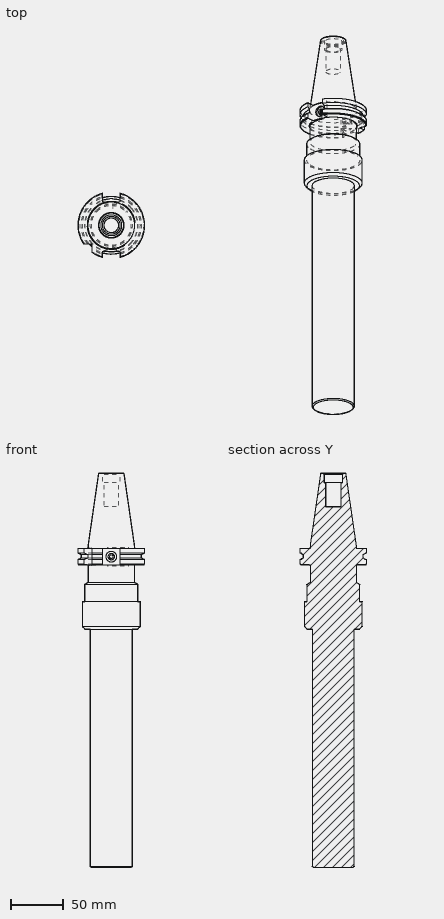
import cadquery as cq
import math

LENGTH = 375.2
TAPER_LENGTH = 69.0
FLANGE_TOP = 71.5
FLANGE_THICKNESS = 15.8
COLLAR_TOP = 104.0
NUT_TOP = 122.5
NUT_BOTTOM = 148.5

GAUGE_DIAMETER = 44.3
TAPER_END_DIAMETER = 24.5
TAPER_END_CHAMFER = 0.55

FLANGE_DIAMETER = 63.5
COLLAR_DIAMETER = 50.5
COLLAR_SHOULDER_HEIGHT = 2.0
NUT_DIAMETER = 55.0
NUT_CHAMFER = 2.5
SHANK_DIAMETER = 40.0
SHANK_CHAMFER = 1.0
FLANGE_CHAMFER = 0.8
FLANGE_ROOT_RADIUS = 0.8
ROOT_SEARCH_MARGIN = 0.5

GROOVE_CENTRE = 79.0
GROOVE_DEPTH = 3.0
GROOVE_FLOOR_WIDTH = 3.0
GROOVE_FLANK_ANGLE = 30.0

SLOT_WIDTH = 17.0
FRONT_SLOT_FLOOR = 24.8
REAR_SLOT_FLOOR = 22.0
SLOT_CORNER_RADIUS = 1.0

PORT_STEPS = [(10.0, 2.0), (6.0, 3.8), (3.5, 5.5)]

NOTCH_X = -18.5
NOTCH_Y = -18.0
NOTCH_CORNER_RADIUS = 0.8

BORE_DIAMETER = 14.0
BORE_DEPTH = 32.0
PILOT_DIAMETER = 17.0
PILOT_DEPTH = 9.0
MOUTH_DIAMETER = 20.0
MOUTH_DEPTH = 1.5

top_z = LENGTH
gauge_z = LENGTH - TAPER_LENGTH
flange_top_z = LENGTH - FLANGE_TOP
flange_bottom_z = flange_top_z - FLANGE_THICKNESS
flange_middle_z = (flange_top_z + flange_bottom_z) / 2
groove_z = LENGTH - GROOVE_CENTRE
collar_top_z = LENGTH - COLLAR_TOP
nut_top_z = LENGTH - NUT_TOP
nut_bottom_z = LENGTH - NUT_BOTTOM

gauge_radius = GAUGE_DIAMETER / 2
taper_end_radius = TAPER_END_DIAMETER / 2
flange_radius = FLANGE_DIAMETER / 2
collar_radius = COLLAR_DIAMETER / 2
nut_radius = NUT_DIAMETER / 2
shank_radius = SHANK_DIAMETER / 2
groove_floor_radius = flange_radius - GROOVE_DEPTH
groove_floor_half = GROOVE_FLOOR_WIDTH / 2
groove_mouth_half = groove_floor_half + GROOVE_DEPTH * math.tan(math.radians(GROOVE_FLANK_ANGLE))


def turned_body():
    """Revolve the whole outer profile, listed from the shank end up to the taper."""
    profile = [
        (0, 0),
        (shank_radius - SHANK_CHAMFER, 0),
        (shank_radius, SHANK_CHAMFER),
        (shank_radius, nut_bottom_z),
        (nut_radius - NUT_CHAMFER, nut_bottom_z),
        (nut_radius, nut_bottom_z + NUT_CHAMFER),
        (nut_radius, nut_top_z),
        (collar_radius, nut_top_z),
        (collar_radius, collar_top_z - COLLAR_SHOULDER_HEIGHT),
        (gauge_radius, collar_top_z),
        (gauge_radius, flange_bottom_z),
        (flange_radius - FLANGE_CHAMFER, flange_bottom_z),
        (flange_radius, flange_bottom_z + FLANGE_CHAMFER),
        (flange_radius, groove_z - groove_mouth_half),
        (groove_floor_radius, groove_z - groove_floor_half),
        (groove_floor_radius, groove_z + groove_floor_half),
        (flange_radius, groove_z + groove_mouth_half),
        (flange_radius, flange_top_z),
        (gauge_radius, flange_top_z),
        (gauge_radius, gauge_z),
        (taper_end_radius, top_z - TAPER_END_CHAMFER),
        (taper_end_radius - TAPER_END_CHAMFER, top_z),
        (0, top_z),
    ]
    body = cq.Workplane("XZ").polyline(profile).close().revolve(360, (0, 0, 0), (0, 1, 0))
    reach = gauge_radius + ROOT_SEARCH_MARGIN
    flange_roots = cq.selectors.BoxSelector(
        (-reach, -reach, flange_bottom_z - ROOT_SEARCH_MARGIN),
        (reach, reach, flange_top_z + ROOT_SEARCH_MARGIN),
        boundingbox=True,
    )
    return body.edges("%CIRCLE").edges(flange_roots).fillet(FLANGE_ROOT_RADIUS)


def drawbar_bore():
    """Blind bore in the small end with a wider pilot and a countersunk mouth."""
    profile = [
        (0, top_z),
        (MOUTH_DIAMETER / 2, top_z),
        (PILOT_DIAMETER / 2, top_z - MOUTH_DEPTH),
        (PILOT_DIAMETER / 2, top_z - PILOT_DEPTH),
        (BORE_DIAMETER / 2, top_z - PILOT_DEPTH),
        (BORE_DIAMETER / 2, top_z - BORE_DEPTH),
        (0, top_z - BORE_DEPTH),
    ]
    return cq.Workplane("XZ").polyline(profile).close().revolve(360, (0, 0, 0), (0, 1, 0))


def drive_slot(side, floor):
    """Slot through the flange height plus its stepped hole; side is -1 for -Y, +1 for +Y."""
    depth = flange_radius - floor
    slot = cq.Workplane("XY").box(SLOT_WIDTH, depth, FLANGE_THICKNESS)
    floor_corners = "|Z and <Y" if side > 0 else "|Z and >Y"
    slot = slot.edges(floor_corners).fillet(SLOT_CORNER_RADIUS)
    slot = slot.translate((0, side * (floor + depth / 2), flange_middle_z))
    floor_centre = cq.Vector(0, side * floor, flange_middle_z)
    inward = cq.Vector(0, -side, 0)
    for diameter, hole_depth in PORT_STEPS:
        step = cq.Solid.makeCylinder(diameter / 2, hole_depth, floor_centre, inward)
        slot = slot.union(cq.Workplane(step))
    return slot


def corner_notch():
    """Notch with a rounded inner corner through the flange on its -X, -Y side."""
    notch = cq.Workplane("XY").box(flange_radius, flange_radius, FLANGE_THICKNESS, centered=False)
    notch = notch.edges("|Z and >X and >Y").fillet(NOTCH_CORNER_RADIUS)
    return notch.translate((NOTCH_X - flange_radius, NOTCH_Y - flange_radius, flange_bottom_z))


result = (
    turned_body()
    .cut(drawbar_bore())
    .cut(drive_slot(-1, FRONT_SLOT_FLOOR))
    .cut(drive_slot(1, REAR_SLOT_FLOOR))
    .cut(corner_notch())
)